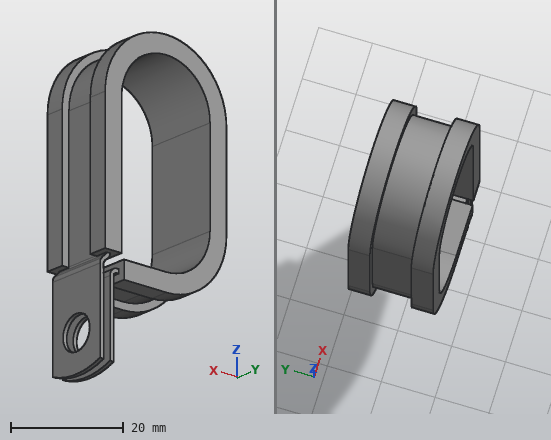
import cadquery as cq
import math

total_height = 65.7
loop_width = 28.4
cushion_width = 15.75

outer_radius = loop_width / 2
cushion_thickness = 3.9
loop_bottom = 16.75
long_leg_end = 21.7
foot_end = 9.8
groove_width = 7.7
groove_depth = 1.6

strap_thickness = 0.85
strap_width = 12.95
bend_outer_radius = 1.65
bend_inner_radius = bend_outer_radius - strap_thickness
tab_gap = 1.5
hole_diameter = 7.2
hole_height = 7.9
tip_arc_rise = 1.3

strap_inner_inset = groove_depth + strap_thickness
strap_outer_x = outer_radius - groove_depth
strap_inner_x = strap_outer_x - strap_thickness
strap_bottom = loop_bottom + groove_depth
strap_foot_top = strap_bottom + strap_thickness
long_tab_x = outer_radius - strap_thickness
short_tab_outer_x = long_tab_x - tab_gap
short_tab_x = short_tab_outer_x - strap_thickness

joggle_top = 21.2
joggle_shift = outer_radius - strap_outer_x
joggle_bottom = joggle_top - joggle_shift
miter_rise = strap_thickness * math.tan(math.radians(45 / 2))

upper_center = total_height - outer_radius
lower_center = loop_bottom + outer_radius


def loop_band(outer_inset, inner_inset, width):
    """J-shaped band between two insets from the outer face of the loop."""
    outer = outer_radius - outer_inset
    inner = outer_radius - inner_inset
    return (
        cq.Workplane("XZ")
        .moveTo(outer, long_leg_end)
        .lineTo(outer, upper_center)
        .threePointArc((0, upper_center + outer), (-outer, upper_center))
        .lineTo(-outer, lower_center)
        .radiusArc((0, lower_center - outer), -outer)
        .lineTo(foot_end, lower_center - outer)
        .lineTo(foot_end, lower_center - inner)
        .lineTo(0, lower_center - inner)
        .radiusArc((-inner, lower_center), inner)
        .lineTo(-inner, upper_center)
        .threePointArc((0, upper_center + inner), (inner, upper_center))
        .lineTo(inner, long_leg_end)
        .close()
        .extrude(width / 2, both=True)
    )


def strap_piece(points, bends):
    """Extruded strap profile with each (x, z, radius) bend corner rounded."""
    piece = cq.Workplane("XZ").polyline(points).close().extrude(strap_width / 2, both=True)
    for x, z, radius in bends:
        corner = cq.selectors.NearestToPointSelector((x, 0, z))
        piece = piece.edges("|Y").edges(corner).fillet(radius)
    return piece


def short_tab():
    """Tab that turns down from the end of the foot."""
    outer_corner = (short_tab_outer_x, strap_foot_top)
    inner_corner = (short_tab_x, strap_bottom)
    points = [
        (0, strap_foot_top),
        outer_corner,
        (short_tab_outer_x, 0),
        (short_tab_x, 0),
        inner_corner,
        (0, strap_bottom),
    ]
    return strap_piece(points, [(*outer_corner, bend_outer_radius), (*inner_corner, bend_inner_radius)])


def long_tab():
    """Tab that continues the long leg through the outward joggle."""
    upper_inner = (strap_inner_x, joggle_top)
    upper_outer = (strap_outer_x, joggle_top + miter_rise)
    lower_inner = (long_tab_x, joggle_bottom)
    lower_outer = (outer_radius, joggle_bottom + miter_rise)
    points = [
        (strap_inner_x, upper_center),
        upper_inner,
        lower_inner,
        (long_tab_x, 0),
        (outer_radius, 0),
        lower_outer,
        upper_outer,
        (strap_outer_x, upper_center),
    ]
    bends = [
        (*upper_inner, bend_outer_radius),
        (*upper_outer, bend_inner_radius),
        (*lower_inner, bend_inner_radius),
        (*lower_outer, bend_outer_radius),
    ]
    return strap_piece(points, bends)


def tab_outline():
    """Block with the rounded tip and bolt hole, used to trim both tabs."""
    half_width = strap_width / 2
    return (
        cq.Workplane("YZ")
        .moveTo(-half_width, upper_center)
        .lineTo(-half_width, tip_arc_rise)
        .threePointArc((0, 0), (half_width, tip_arc_rise))
        .lineTo(half_width, upper_center)
        .close()
        .moveTo(0, hole_height)
        .circle(hole_diameter / 2)
        .extrude(loop_width)
    )


cushion = loop_band(0, cushion_thickness, cushion_width)
groove = loop_band(0, groove_depth, groove_width)
strap_loop = loop_band(groove_depth, strap_inner_inset, strap_width)
tabs = short_tab().union(long_tab()).intersect(tab_outline())

result = cushion.cut(groove).union(strap_loop).union(tabs)